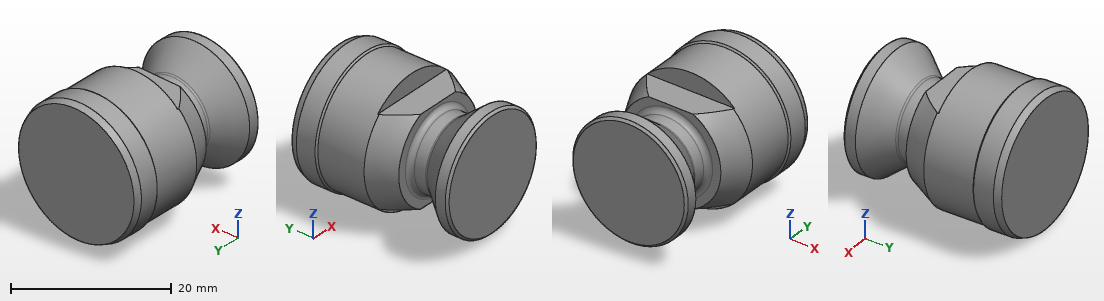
import cadquery as cq
import math

length = 24.5

disc_radius = 9.0
disc_chamfer = 0.35
disc_thickness = 1.95
cone_end = 6.0
cone_blend_radius = 0.5
neck_radius = 5.7
neck_fillet_radius = 0.8

body_front = 8.8
body_radius = 9.75
taper_front_radius = 7.8
taper_length = 4.0

collar_radius = 10.0
collar_length = 4.25
collar_step = collar_radius - body_radius
lead_in_length = 1.0
lead_in_angle = math.radians(20)

flat_half_width = 7.0
flat_end = 13.0


def turned_body():
    """Revolve the half profile, drawn as (radius, Y), about the Y axis."""
    cone_angle = math.atan2(disc_radius - neck_radius, cone_end - disc_thickness)
    tangent_length = cone_blend_radius * math.tan(cone_angle / 2)
    cone_tangent = (
        neck_radius + tangent_length * math.sin(cone_angle),
        cone_end - tangent_length * math.cos(cone_angle),
    )
    neck_tangent = (neck_radius, cone_end + tangent_length)

    body_taper_end = body_front + taper_length
    collar_front = length - collar_length
    lead_in_depth = lead_in_length * math.tan(lead_in_angle)

    profile = (
        cq.Workplane("XY")
        .moveTo(0, 0)
        .lineTo(disc_radius - disc_chamfer, 0)
        .lineTo(disc_radius, disc_chamfer)
        .lineTo(disc_radius, disc_thickness)
        .lineTo(*cone_tangent)
        .radiusArc(neck_tangent, cone_blend_radius)
        .lineTo(neck_radius, body_front - neck_fillet_radius)
        .radiusArc((neck_radius + neck_fillet_radius, body_front), neck_fillet_radius)
        .lineTo(taper_front_radius, body_front)
        .lineTo(body_radius, body_taper_end)
        .lineTo(body_radius, collar_front)
        .lineTo(collar_radius, collar_front + collar_step)
        .lineTo(collar_radius, length - lead_in_length)
        .lineTo(collar_radius - lead_in_depth, length)
        .lineTo(0, length)
        .close()
    )
    return profile.revolve(360, (0, 0, 0), (0, 1, 0))


def flat_cutter(side):
    """Block removing the body beyond one wrench flat; side is +1 or -1 along Z."""
    cut_length = flat_end - body_front
    cut_height = collar_radius - flat_half_width
    return cq.Workplane("XY").box(2 * collar_radius, cut_length, cut_height).translate(
        (0, body_front + cut_length / 2, side * (flat_half_width + cut_height / 2))
    )


result = turned_body()
for side in (1, -1):
    result = result.cut(flat_cutter(side))